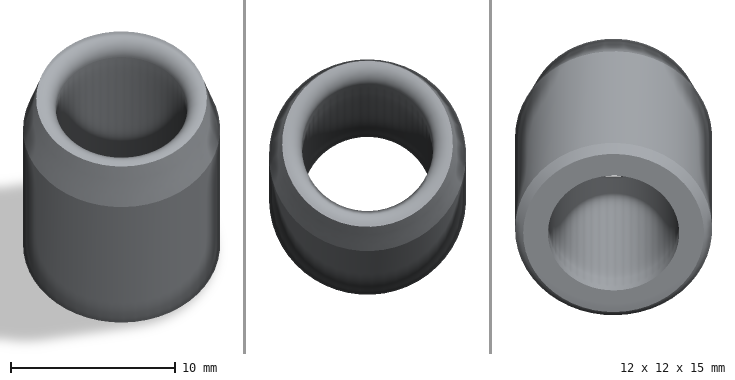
import cadquery as cq
import math

height = 15.0
outer_diameter = 12.0
bore_diameter = 8.0

taper_height = 3.0
taper_angle = 15.0
bottom_chamfer = 0.5
bore_lip_radius = 1.0

outer_radius = outer_diameter / 2
bore_radius = bore_diameter / 2
top_radius = outer_radius - taper_height * math.tan(math.radians(taper_angle))

lip_start_height = height - bore_lip_radius
lip_outer_radius = bore_radius + bore_lip_radius
lip_offset = bore_lip_radius * math.cos(math.radians(45))
lip_midpoint = (lip_outer_radius - lip_offset, lip_start_height + lip_offset)

half_section = (
    cq.Workplane("XZ")
    .moveTo(bore_radius, 0)
    .lineTo(outer_radius - bottom_chamfer, 0)
    .lineTo(outer_radius, bottom_chamfer)
    .lineTo(outer_radius, height - taper_height)
    .lineTo(top_radius, height)
    .lineTo(lip_outer_radius, height)
    .threePointArc(lip_midpoint, (bore_radius, lip_start_height))
    .close()
)

result = half_section.revolve(360, (0, 0, 0), (0, 1, 0))